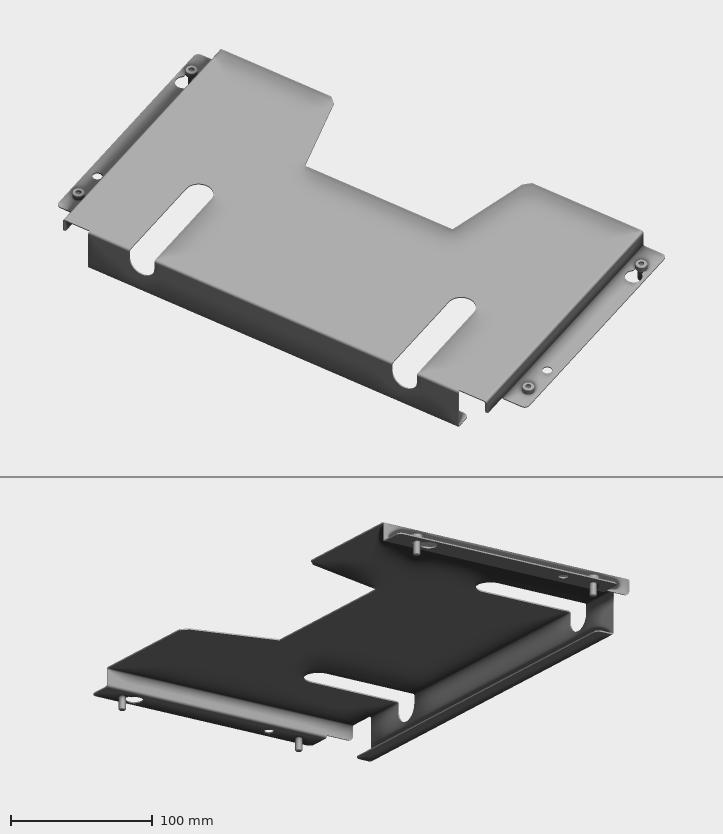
import cadquery as cq
import math

LENGTH = 392.5
DEPTH = 210.0
HEIGHT = 35.0
SHEET = 1.0
INNER_BEND = 1.0
OUTER_BEND = INNER_BEND + SHEET
PLATE_BOTTOM_Z = HEIGHT - SHEET

WALL_SPAN = 353.2
WALL_X = WALL_SPAN / 2
WALL_HEIGHT = 15.0
WALL_CORNER_RADIUS = 4.0
FLANGE_FRONT_Y = 24.0
FLANGE_CORNER_RADIUS = 4.0
FLANGE_BOTTOM_Z = HEIGHT - WALL_HEIGHT
FLANGE_TOP_Z = FLANGE_BOTTOM_Z + SHEET
BARE_WALL_BOTTOM_Z = FLANGE_TOP_Z + INNER_BEND

FLAP_WIDTH = 308.5
LIP_DEPTH = 14.5
LIP_CORNER_RADIUS = 4.0

NOTCH_FLOOR_Y = 139.7
NOTCH_FLOOR_WIDTH = 123.2
NOTCH_MOUTH_WIDTH = 167.2
NOTCH_MOUTH_BEVEL = 5.0

SLOT_WIDTH = 20.8
SLOT_SPACING = 219.0
SLOT_REAR_Y = 85.5
SLOT_LOWEST_Z = 16.5

HOLE_X = 187.5
REAR_SCREW_Y = 189.5
FRONT_SCREW_Y = 40.0
KEYHOLE_Y = 179.5
KEYHOLE_DIAMETER = 12.5
CLEARANCE_DIAMETER = 7.0
PLAIN_HOLE_Y = 65.0

SHANK_DIAMETER = 5.0
SHANK_CHAMFER = 0.6
SHANK_LENGTH = 10.5
HEAD_DIAMETER = 8.5
HEAD_HEIGHT = 4.5
HEAD_CHAMFER = 0.5
SOCKET_ACROSS_CORNERS = 4.7
SOCKET_DEPTH = 2.0
SOCKET_TIP_DEPTH = 1.0

SIDES = (-1, 1)


def round_bend(body, inner_corner, outer_corner):
    """Round the two parallel edges of one sharp fold in the sheet."""
    body = body.edges(cq.NearestToPointSelector(inner_corner)).fillet(INNER_BEND)
    return body.edges(cq.NearestToPointSelector(outer_corner)).fillet(OUTER_BEND)


def make_main_strip():
    """Plate, side walls and flanges folded from one strip along Y."""
    strip = (
        cq.Workplane("XZ", origin=(0, DEPTH, 0))
        .moveTo(-LENGTH / 2, FLANGE_BOTTOM_Z)
        .lineTo(-WALL_X + SHEET, FLANGE_BOTTOM_Z)
        .lineTo(-WALL_X + SHEET, PLATE_BOTTOM_Z)
        .lineTo(WALL_X - SHEET, PLATE_BOTTOM_Z)
        .lineTo(WALL_X - SHEET, FLANGE_BOTTOM_Z)
        .lineTo(LENGTH / 2, FLANGE_BOTTOM_Z)
        .lineTo(LENGTH / 2, FLANGE_TOP_Z)
        .lineTo(WALL_X, FLANGE_TOP_Z)
        .lineTo(WALL_X, HEIGHT)
        .lineTo(-WALL_X, HEIGHT)
        .lineTo(-WALL_X, FLANGE_TOP_Z)
        .lineTo(-LENGTH / 2, FLANGE_TOP_Z)
        .close()
        .extrude(DEPTH - OUTER_BEND)
    )
    middle_y = (DEPTH + OUTER_BEND) / 2
    for side in SIDES:
        outer_x = side * WALL_X
        inner_x = side * (WALL_X - SHEET)
        strip = round_bend(strip, (inner_x, middle_y, PLATE_BOTTOM_Z), (outer_x, middle_y, HEIGHT))
        strip = round_bend(
            strip, (outer_x, middle_y, FLANGE_TOP_Z), (inner_x, middle_y, FLANGE_BOTTOM_Z)
        )
    return strip


def make_front_flap():
    """Flap folded down from the front of the plate, with a lip folded to the rear."""
    flap = (
        cq.Workplane("YZ", origin=(-FLAP_WIDTH / 2, 0, 0))
        .moveTo(OUTER_BEND, HEIGHT)
        .lineTo(0, HEIGHT)
        .lineTo(0, 0)
        .lineTo(LIP_DEPTH, 0)
        .lineTo(LIP_DEPTH, SHEET)
        .lineTo(SHEET, SHEET)
        .lineTo(SHEET, PLATE_BOTTOM_Z)
        .lineTo(OUTER_BEND, PLATE_BOTTOM_Z)
        .close()
        .extrude(FLAP_WIDTH)
    )
    flap = round_bend(flap, (0, SHEET, SHEET), (0, 0, 0))
    for side in SIDES:
        lip_corner = (side * FLAP_WIDTH / 2, LIP_DEPTH, SHEET / 2)
        flap = flap.edges(cq.NearestToPointSelector(lip_corner)).fillet(LIP_CORNER_RADIUS)
    return flap


def trim_flange_front(body, side):
    """End the flange short of the front, then round the corners of wall and flange."""
    inner_x = WALL_X - OUTER_BEND
    trim_width = LENGTH / 2 - inner_x
    trim = cq.Workplane("XY").box(
        trim_width, FLANGE_FRONT_Y, BARE_WALL_BOTTOM_Z, centered=(True, False, False)
    )
    body = body.cut(trim.translate((side * (inner_x + trim_width / 2), 0, 0)))
    wall_corner = (side * WALL_X, OUTER_BEND, BARE_WALL_BOTTOM_Z)
    body = body.edges(cq.NearestToPointSelector(wall_corner)).fillet(WALL_CORNER_RADIUS)
    for y in (FLANGE_FRONT_Y, DEPTH):
        flange_corner = (side * LENGTH / 2, y, FLANGE_BOTTOM_Z + SHEET / 2)
        body = body.edges(cq.NearestToPointSelector(flange_corner)).fillet(FLANGE_CORNER_RADIUS)
    return body


def cut_notch(body):
    """Tapered notch in the rear edge with bevelled mouth corners."""
    half_floor = NOTCH_FLOOR_WIDTH / 2
    half_mouth = NOTCH_MOUTH_WIDTH / 2
    taper_end_x = half_mouth - NOTCH_MOUTH_BEVEL
    taper_end_y = DEPTH - NOTCH_MOUTH_BEVEL
    notch = (
        cq.Workplane("XY", origin=(0, 0, PLATE_BOTTOM_Z))
        .moveTo(-half_floor, NOTCH_FLOOR_Y)
        .lineTo(half_floor, NOTCH_FLOOR_Y)
        .lineTo(taper_end_x, taper_end_y)
        .lineTo(half_mouth, DEPTH)
        .lineTo(-half_mouth, DEPTH)
        .lineTo(-taper_end_x, taper_end_y)
        .close()
        .extrude(SHEET)
    )
    return body.cut(notch)


def make_slot_cutter(side):
    """Slot round-ended in the plate and in the flap, open across the bend between them."""
    radius = SLOT_WIDTH / 2
    x = side * SLOT_SPACING / 2
    plate_end_y = SLOT_REAR_Y - radius
    flap_end_z = SLOT_LOWEST_Z + radius
    corner = cq.Workplane("XY").box(SLOT_WIDTH, plate_end_y, OUTER_BEND, centered=(True, False, False))
    plate_end = cq.Workplane("XY").center(0, plate_end_y).circle(radius).extrude(OUTER_BEND)
    plate_part = corner.union(plate_end).translate((x, 0, HEIGHT - OUTER_BEND))
    flap_side = cq.Workplane("XY").box(
        SLOT_WIDTH, OUTER_BEND, HEIGHT - flap_end_z, centered=(True, False, False)
    )
    flap_end = cq.Workplane("XZ").circle(radius).extrude(-OUTER_BEND)
    flap_part = flap_side.union(flap_end).translate((x, 0, flap_end_z))
    return plate_part.union(flap_part)


def make_flange_hole(x, y, diameter):
    return cq.Workplane("XY", origin=(x, y, FLANGE_BOTTOM_Z)).circle(diameter / 2).extrude(SHEET)


def cut_flange_holes(body, x):
    """Keyhole, plain hole and front screw hole of one flange."""
    neck = (
        cq.Workplane("XY")
        .box(CLEARANCE_DIAMETER, REAR_SCREW_Y - KEYHOLE_Y, SHEET, centered=(True, False, False))
        .translate((x, KEYHOLE_Y, FLANGE_BOTTOM_Z))
    )
    body = body.cut(neck)
    body = body.cut(make_flange_hole(x, REAR_SCREW_Y, CLEARANCE_DIAMETER))
    body = body.cut(make_flange_hole(x, KEYHOLE_Y, KEYHOLE_DIAMETER))
    body = body.cut(make_flange_hole(x, PLAIN_HOLE_Y, CLEARANCE_DIAMETER))
    return body.cut(make_flange_hole(x, FRONT_SCREW_Y, SHANK_DIAMETER))


def make_bracket():
    bracket = make_main_strip().union(make_front_flap())
    bracket = round_bend(bracket, (0, SHEET, PLATE_BOTTOM_Z), (0, 0, HEIGHT))
    bracket = cut_notch(bracket)
    for side in SIDES:
        bracket = trim_flange_front(bracket, side)
        bracket = bracket.cut(make_slot_cutter(side))
        bracket = cut_flange_holes(bracket, side * HOLE_X)
    return bracket


def make_screw(x, y):
    """Socket head screw resting on the flange, with a hexagonal socket that ends in a cone."""
    head_radius = HEAD_DIAMETER / 2
    shank_radius = SHANK_DIAMETER / 2
    blank = (
        cq.Workplane("XZ")
        .moveTo(0, -SHANK_LENGTH)
        .lineTo(-shank_radius + SHANK_CHAMFER, -SHANK_LENGTH)
        .lineTo(-shank_radius, -SHANK_LENGTH + SHANK_CHAMFER)
        .lineTo(-shank_radius, 0)
        .lineTo(-head_radius, 0)
        .lineTo(-head_radius, HEAD_HEIGHT - HEAD_CHAMFER)
        .lineTo(-head_radius + HEAD_CHAMFER, HEAD_HEIGHT)
        .lineTo(0, HEAD_HEIGHT)
        .close()
        .revolve(360, (0, 0, 0), (0, 1, 0))
    )
    socket = (
        cq.Workplane("XY", origin=(0, 0, HEAD_HEIGHT))
        .polygon(6, SOCKET_ACROSS_CORNERS)
        .extrude(-SOCKET_DEPTH)
    )
    floor_radius = SOCKET_ACROSS_CORNERS * math.sqrt(3) / 4
    tip = cq.Solid.makeCone(
        floor_radius, 0, SOCKET_TIP_DEPTH, pnt=(0, 0, HEAD_HEIGHT - SOCKET_DEPTH), dir=(0, 0, -1)
    )
    return blank.cut(socket).cut(tip).translate((x, y, FLANGE_TOP_Z))


bracket = make_bracket()
screws = [
    make_screw(side * HOLE_X, y)
    for side in SIDES
    for y in (FRONT_SCREW_Y, REAR_SCREW_Y)
]
result = cq.Compound.makeCompound(
    [bracket.solids().val(), *[screw.solids().val() for screw in screws]]
)